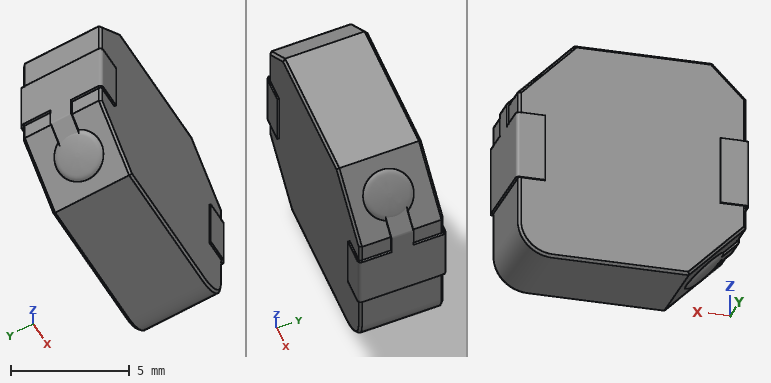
import cadquery as cq
import math

HOUSING_SIDE = 10.0
HOUSING_DEPTH = 3.84
SMALL_CORNER_CUT = 1.5
LARGE_CORNER_CUT = 2.5
CORNER_RADIUS = 1.5
RIM_CHAMFER = 0.11

SHEET_THICKNESS = 0.1
OVERALL_DEPTH = 4.0
CLIP_HEIGHT = 3.0
FRONT_FLANGE_LENGTH = 1.2
BACK_FLANGE_LENGTH = 1.25
OUTER_BEND_RADIUS = 0.15
INNER_BEND_RADIUS = 0.05

TAB_WIDTH = 1.0

DOME_RADIUS = 1.11
DOME_HEIGHT = 0.18
DOME_SHOULDER_RADIUS = 0.82
DOME_SHOULDER_HEIGHT = 0.13
DOME_FLAT_RADIUS = 0.1
DOME_Y = -0.09

half_side = HOUSING_SIDE / 2
half_overall = half_side + SHEET_THICKNESS
cut_end = half_side - LARGE_CORNER_CUT
cut_middle = half_side - LARGE_CORNER_CUT / 2


def make_housing():
    """Block with three cut corners, one round corner and chamfered front and back rims."""
    small_cut_end = half_side - SMALL_CORNER_CUT
    outline = (
        cq.Workplane("XZ")
        .moveTo(-half_side, -cut_end)
        .lineTo(-half_side, small_cut_end)
        .lineTo(-small_cut_end, half_side)
        .lineTo(cut_end, half_side)
        .lineTo(half_side, cut_end)
        .lineTo(half_side, CORNER_RADIUS - half_side)
        .radiusArc((half_side - CORNER_RADIUS, -half_side), CORNER_RADIUS)
        .lineTo(-cut_end, -half_side)
        .close()
    )
    block = outline.extrude(HOUSING_DEPTH / 2, both=True)
    return block.faces("<Y or >Y").chamfer(RIM_CHAMFER)


def make_clip():
    """C-shaped band on the -X side, with flanges on the front and back of the housing."""

    def slab(length, near_y, far_y):
        return (
            cq.Workplane("XY")
            .box(length, far_y - near_y, CLIP_HEIGHT, centered=(False, False, True))
            .translate((-half_overall, near_y, 0))
        )

    half_depth = OVERALL_DEPTH / 2
    band = slab(FRONT_FLANGE_LENGTH, -half_depth, 0).union(slab(BACK_FLANGE_LENGTH, 0, half_depth))
    band = band.edges("|Z and <X").fillet(OUTER_BEND_RADIUS)
    inside = (
        cq.Workplane("XY")
        .box(HOUSING_SIDE, HOUSING_DEPTH, CLIP_HEIGHT)
        .edges("|Z and <X")
        .fillet(INNER_BEND_RADIUS)
    )
    return band.cut(inside)


def make_tab():
    """Strip running down the -X side and bending onto the lower corner cut."""
    diagonal_offset = SHEET_THICKNESS * math.sqrt(2)
    bend_z = -cut_end - diagonal_offset + SHEET_THICKNESS
    strip = (
        cq.Workplane("XZ")
        .moveTo(-half_overall, 0)
        .lineTo(-half_overall, bend_z)
        .lineTo(-cut_middle - diagonal_offset / 2, -cut_middle - diagonal_offset / 2)
        .lineTo(-cut_middle, -cut_middle)
        .lineTo(-cut_middle, 0)
        .close()
    )
    solid_strip = strip.extrude(TAB_WIDTH / 2, both=True)
    outer_bend = cq.selectors.NearestToPointSelector((-half_overall, 0, bend_z))
    return solid_strip.edges(outer_bend).fillet(OUTER_BEND_RADIUS)


def make_dome():
    """Cap centred on the lower corner cut, bulging outwards."""
    outward = cq.Plane(
        origin=(-cut_middle, DOME_Y, -cut_middle), xDir=(1, 0, -1), normal=(0, 1, 0)
    )
    steep_rim = (-1, 1)
    level_top = (-1, 0)
    return (
        cq.Workplane(outward)
        .lineTo(DOME_RADIUS, 0)
        .spline(
            [(DOME_SHOULDER_RADIUS, DOME_SHOULDER_HEIGHT), (DOME_FLAT_RADIUS, DOME_HEIGHT)],
            tangents=[steep_rim, level_top],
            includeCurrent=True,
        )
        .lineTo(0, DOME_HEIGHT)
        .close()
        .revolve(360, (0, 0), (0, 1))
    )


def make_terminal(housing):
    """Clip, tab and solder dome in one piece, fitted against the housing."""
    return make_clip().union(make_tab()).union(make_dome()).cut(housing)


housing = make_housing()
terminal = make_terminal(housing)
terminals = [terminal.rotate((0, 0, 0), (0, 1, 0), angle).val() for angle in (0, 180)]

result = cq.Compound.makeCompound([housing.val(), *terminals])